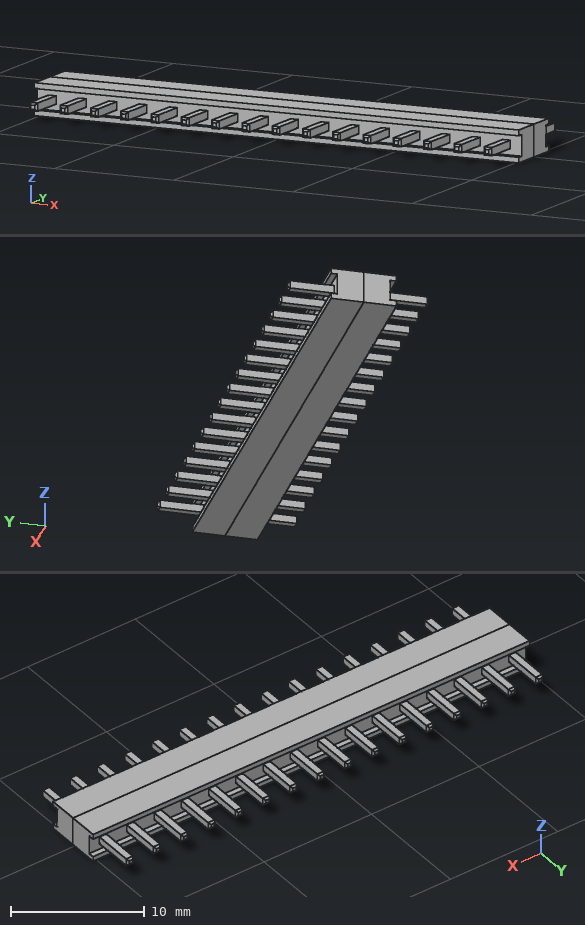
import cadquery as cq

length = 40.65
pin_count = 16
groove_depth = 0.5
flange_thickness = 0.45
pin_chamfer = 0.15
front_tip_distance = 5.32
rear_tip_distance = 5.6

pitch = length / pin_count
pin_width = pitch / 4
strip_depth = pitch
strip_height = pitch
groove_height = strip_height - 2 * flange_thickness
groove_floor = strip_depth - groove_depth
pin_positions = [(i - (pin_count - 1) / 2) * pitch for i in range(pin_count)]


def bar(size_x, start_y, end_y, size_z):
    """Rectangular bar from start_y to end_y, centred on X = 0 and Z = 0."""
    return (
        cq.Workplane("XY")
        .box(size_x, end_y - start_y, size_z, centered=(True, False, True))
        .translate((0, start_y, 0))
    )


def grooved_strip():
    """Insulating strip with its flat back on Y = 0 and its groove opening toward +Y."""
    block = bar(length, 0, strip_depth, strip_height)
    groove = bar(length, groove_floor, strip_depth, groove_height)
    return block.cut(groove)


def pin(x, tip_distance):
    """Square pin standing on the groove floor, bevelled at its free end."""
    shank = bar(pin_width, groove_floor, tip_distance, pin_width)
    return shank.faces(">Y").chamfer(pin_chamfer).translate((x, 0, 0))


def header_half(tip_distance):
    """A grooved strip and its row of pins as a single solid."""
    half = grooved_strip()
    for x in pin_positions:
        half = half.union(pin(x, tip_distance))
    return half


rear_half = header_half(rear_tip_distance)
front_half = header_half(front_tip_distance).rotate((0, 0, 0), (0, 0, 1), 180)

result = cq.Compound.makeCompound([rear_half.val(), front_half.val()])